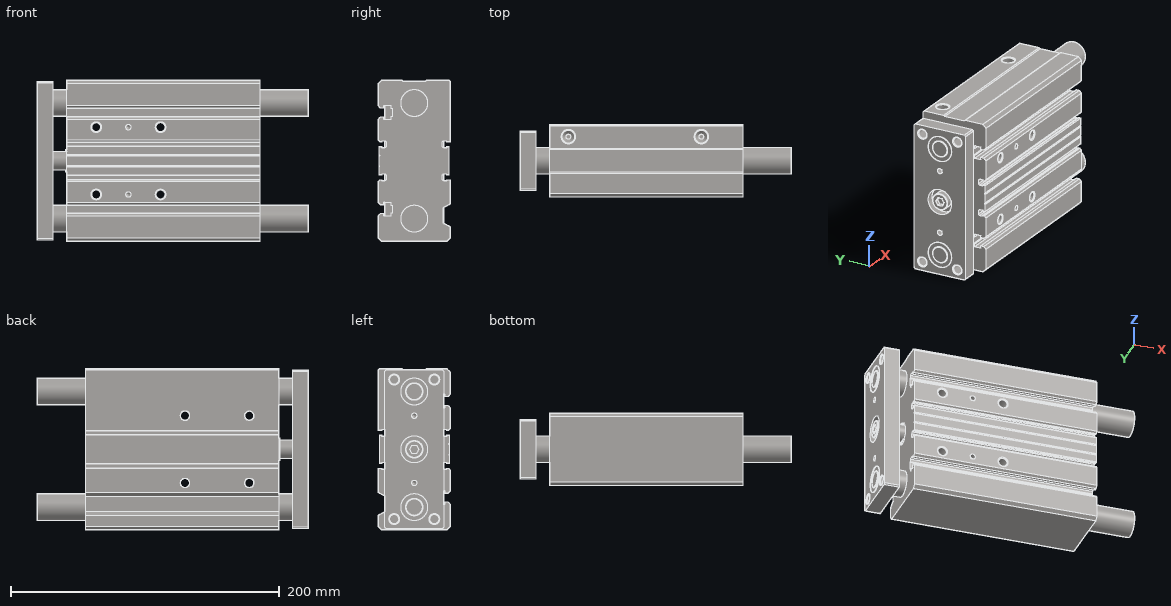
import cadquery as cq
import math


TOTAL_LENGTH = 202.0
BODY_START = 22.0
BODY_LENGTH = 144.0
BODY_WIDTH = 54.0
BODY_HEIGHT = 120.0
HALF_WIDTH = BODY_WIDTH / 2
HALF_HEIGHT = BODY_HEIGHT / 2
OVERCUT = 2.0

CORNER_CHAMFER = 2.6
PORT_SIDE_CHAMFER = 1.0
RECESS_TOP_WIDTH = 18.5
RECESS_FLOOR_WIDTH = 16.5
RECESS_DEPTH = 0.6

T_SLOT_Z = 36.0
T_MOUTH = 6.5
T_LIP = 4.5
T_WIDTH = 10.0
T_DEPTH = 9.7
T_MOUTH_CHAMFER = 1.8
T_FLOOR_GROOVE_WIDTH = 5.7
T_FLOOR_GROOVE_DEPTH = 1.0

SENSOR_SLOT_Z = 12.3
SENSOR_MOUTH = 3.6
SENSOR_LIP = 2.8
SENSOR_WIDTH = 4.8
SENSOR_DEPTH = 6.5
SENSOR_FLOOR_CHAMFER = 1.0
SENSOR_MOUTH_CHAMFER = 1.5
FRONT_RIB_SETBACK = 0.6
BACK_RIB_SETBACK = 1.0
V_GROOVE_Z = 4.0
V_GROOVE_WIDTH = 1.2
V_GROOVE_DEPTH = 0.6

TAPER_GROOVE_Z = -40.6
TAPER_MOUTH = 17.0
TAPER_FLOOR = 11.3
TAPER_DEPTH = 5.5

MOUNT_X = (44.0, 92.0)
PIN_X = sum(MOUNT_X) / 2
HOLE_Z = 25.0
MOUNT_DIAMETER = 6.7
MOUNT_MOUTH_DIAMETER = 7.9
PIN_DIAMETER = 4.0
PIN_DEPTH = 6.0
PIN_POINT_DEPTH = 1.2
PORT_X = (36.0, 135.0)
PORT_Y = 18.0
PORT_DIAMETER = 9.5
PORT_MOUTH_DIAMETER = 10.7
PORT_DEPTH = 10.0
PORT_CONE_DEPTH = 3.0
PASSAGE_DIAMETER = 3.6
PASSAGE_DEPTH = 18.2

GUIDE_Z = 43.0
GUIDE_DIAMETER = 20.0
GUIDE_SETBACK = 0.5
PISTON_DIAMETER = 14.0
PISTON_END = BODY_START + BODY_LENGTH / 2
HEAD_DIAMETER = 13.0
HEAD_CHAMFER = 0.5
HEX_FLATS = 6.0
HEX_CORNERS = HEX_FLATS / math.cos(math.pi / 6)
HEX_DEPTH = 3.0
COLLAR_DIAMETER = 16.5
COLLAR_LENGTH = 1.0

PLATE_THICKNESS = 12.0
PLATE_WIDTH = 44.2
PLATE_HEIGHT = 118.0
PLATE_CHAMFER = 1.0
PLATE_HOLE_Y = 15.0
PLATE_HOLE_Z = 52.0
PLATE_HOLE_DIAMETER = 6.9
PLATE_HOLE_MOUTH = 8.0
COUNTERBORE_DIAMETER = GUIDE_DIAMETER
COUNTERBORE_DEPTH = PLATE_THICKNESS / 2

X_AXIS = cq.Vector(1, 0, 0)
Y_AXIS = cq.Vector(0, 1, 0)
DOWN = cq.Vector(0, 0, -1)


def cylinder(diameter, start, direction, length):
    return cq.Workplane(cq.Solid.makeCylinder(diameter / 2, length, cq.Vector(*start), direction))


def cone(first_diameter, last_diameter, start, direction, length):
    """A cone or frustum that starts with first_diameter and ends with last_diameter."""
    solid = cq.Solid.makeCone(
        first_diameter / 2, last_diameter / 2, length, cq.Vector(*start), direction
    )
    return cq.Workplane(solid)


def chamfered_hole(diameter, mouth_diameter, start, direction, length):
    """A straight hole whose entrance opens to mouth_diameter at 45 degrees."""
    chamfer = (mouth_diameter - diameter) / 2
    hole = cylinder(diameter, start, direction, length)
    return hole.union(cone(mouth_diameter, diameter, start, direction, chamfer))


def pin_hole(start, direction):
    """A blind hole with a conical bottom."""
    point_start = (cq.Vector(*start) + direction * PIN_DEPTH).toTuple()
    hole = cylinder(PIN_DIAMETER, start, direction, PIN_DEPTH)
    return hole.union(cone(PIN_DIAMETER, 0, point_start, direction, PIN_POINT_DEPTH))


def body_bar(points):
    """A bar along the whole body length with the given (Y, Z) outline."""
    return cq.Workplane("YZ", origin=(BODY_START, 0, 0)).polyline(points).close().extrude(BODY_LENGTH)


def body_block(y_first, y_last, z_first, z_last):
    return body_bar([(y_first, z_first), (y_last, z_first), (y_last, z_last), (y_first, z_last)])


def slot_bar(half_profile, side, z_center):
    """A slot symmetric about z_center, from (depth, half width) points; side is the sign of Y."""
    upper = [(side * (HALF_WIDTH - depth), z_center + half) for depth, half in half_profile]
    lower = [(side * (HALF_WIDTH - depth), z_center - half) for depth, half in reversed(half_profile)]
    return body_bar(upper + lower)


def body_outline():
    return body_bar([
        (-HALF_WIDTH, -HALF_HEIGHT + CORNER_CHAMFER),
        (-HALF_WIDTH + CORNER_CHAMFER, -HALF_HEIGHT),
        (HALF_WIDTH - CORNER_CHAMFER, -HALF_HEIGHT),
        (HALF_WIDTH, -HALF_HEIGHT + CORNER_CHAMFER),
        (HALF_WIDTH, HALF_HEIGHT - PORT_SIDE_CHAMFER),
        (HALF_WIDTH - PORT_SIDE_CHAMFER, HALF_HEIGHT),
        (RECESS_TOP_WIDTH / 2, HALF_HEIGHT),
        (RECESS_FLOOR_WIDTH / 2, HALF_HEIGHT - RECESS_DEPTH),
        (-RECESS_FLOOR_WIDTH / 2, HALF_HEIGHT - RECESS_DEPTH),
        (-RECESS_TOP_WIDTH / 2, HALF_HEIGHT),
        (-HALF_WIDTH + CORNER_CHAMFER, HALF_HEIGHT),
        (-HALF_WIDTH, HALF_HEIGHT - CORNER_CHAMFER),
    ])


def cut_t_slots(body):
    """T-slots with a chamfered mouth and a narrower groove along the floor."""
    slot = [
        (-OVERCUT, T_MOUTH / 2),
        (T_LIP, T_MOUTH / 2),
        (T_LIP, T_WIDTH / 2),
        (T_DEPTH, T_WIDTH / 2),
        (T_DEPTH, T_FLOOR_GROOVE_WIDTH / 2),
        (T_DEPTH + T_FLOOR_GROOVE_DEPTH, T_FLOOR_GROOVE_WIDTH / 2),
    ]
    mouth = [(0, T_MOUTH / 2 + T_MOUTH_CHAMFER), (T_MOUTH_CHAMFER, T_MOUTH / 2)]
    for z in (-T_SLOT_Z, T_SLOT_Z):
        body = body.cut(slot_bar(slot, -1, z)).cut(slot_bar(mouth, -1, z))
    return body


def cut_sensor_slots(body):
    """Slots that widen behind a lip and have chamfered floor corners."""
    slot = [
        (-OVERCUT, SENSOR_MOUTH / 2),
        (SENSOR_LIP, SENSOR_MOUTH / 2),
        (SENSOR_LIP, SENSOR_WIDTH / 2),
        (SENSOR_DEPTH - SENSOR_FLOOR_CHAMFER, SENSOR_WIDTH / 2),
        (SENSOR_DEPTH, SENSOR_WIDTH / 2 - SENSOR_FLOOR_CHAMFER),
    ]
    for side in (-1, 1):
        for z in (-SENSOR_SLOT_Z, SENSOR_SLOT_Z):
            body = body.cut(slot_bar(slot, side, z))
    edge = SENSOR_SLOT_Z + SENSOR_MOUTH / 2
    for sign in (-1, 1):
        body = body.cut(body_bar([
            (-HALF_WIDTH, sign * edge),
            (-HALF_WIDTH, sign * (edge + SENSOR_MOUTH_CHAMFER)),
            (-HALF_WIDTH + SENSOR_MOUTH_CHAMFER, sign * edge),
        ]))
    return body


def cut_center_rib(body):
    """Sets the rib between the sensor slots back and cuts two V-grooves in its -Y face."""
    front_face = -HALF_WIDTH + FRONT_RIB_SETBACK
    back_face = HALF_WIDTH - BACK_RIB_SETBACK
    body = body.cut(body_block(-HALF_WIDTH, front_face, -SENSOR_SLOT_Z, SENSOR_SLOT_Z))
    body = body.cut(body_block(back_face, HALF_WIDTH, -SENSOR_SLOT_Z, SENSOR_SLOT_Z))
    for z in (-V_GROOVE_Z, V_GROOVE_Z):
        body = body.cut(body_bar([
            (front_face, z - V_GROOVE_WIDTH / 2),
            (front_face, z + V_GROOVE_WIDTH / 2),
            (front_face + V_GROOVE_DEPTH, z),
        ]))
    return body


def cut_taper_groove(body):
    profile = [(0, TAPER_MOUTH / 2), (TAPER_DEPTH, TAPER_FLOOR / 2)]
    return body.cut(slot_bar(profile, 1, TAPER_GROOVE_Z))


def cut_side_holes(body):
    """Through mounting holes and blind pin holes, entered from the -Y side."""
    for z in (-HOLE_Z, HOLE_Z):
        for x in MOUNT_X:
            body = body.cut(chamfered_hole(
                MOUNT_DIAMETER, MOUNT_MOUTH_DIAMETER, (x, -HALF_WIDTH, z), Y_AXIS, BODY_WIDTH
            ))
        body = body.cut(pin_hole((PIN_X, -HALF_WIDTH, z), Y_AXIS))
    return body


def cut_ports(body):
    """Ports in the top, each with a conical bottom that leads to a narrow passage."""
    for x in PORT_X:
        top = (x, PORT_Y, HALF_HEIGHT)
        cone_start = (x, PORT_Y, HALF_HEIGHT - PORT_DEPTH)
        body = body.cut(chamfered_hole(PORT_DIAMETER, PORT_MOUTH_DIAMETER, top, DOWN, PORT_DEPTH))
        body = body.cut(cone(PORT_DIAMETER, PASSAGE_DIAMETER, cone_start, DOWN, PORT_CONE_DEPTH))
        body = body.cut(cylinder(PASSAGE_DIAMETER, top, DOWN, PASSAGE_DEPTH))
    return body


def make_collar():
    """A low collar around the piston rod, open toward -Y over the width of the rod."""
    start = BODY_START - COLLAR_LENGTH
    collar = cylinder(COLLAR_DIAMETER, (start, 0, 0), X_AXIS, COLLAR_LENGTH)
    opening = cq.Workplane("XY").box(
        COLLAR_LENGTH, COLLAR_DIAMETER, PISTON_DIAMETER, centered=(False, False, True)
    )
    return collar.cut(opening.translate((start, -COLLAR_DIAMETER, 0)))


def make_housing():
    body = body_outline()
    body = cut_t_slots(body)
    body = cut_sensor_slots(body)
    body = cut_center_rib(body)
    body = cut_taper_groove(body)
    body = cut_side_holes(body)
    body = cut_ports(body)
    body = body.union(make_collar())
    body = body.cut(cylinder(PISTON_DIAMETER, (0, 0, 0), X_AXIS, PISTON_END))
    for z in (-GUIDE_Z, GUIDE_Z):
        body = body.cut(cylinder(GUIDE_DIAMETER, (0, 0, z), X_AXIS, TOTAL_LENGTH))
    return body


def make_plate():
    plate = (
        cq.Workplane("YZ")
        .rect(PLATE_WIDTH, PLATE_HEIGHT)
        .extrude(PLATE_THICKNESS)
        .edges("|X")
        .chamfer(PLATE_CHAMFER)
    )
    for z in (-PLATE_HOLE_Z, PLATE_HOLE_Z):
        for y in (-PLATE_HOLE_Y, PLATE_HOLE_Y):
            plate = plate.cut(chamfered_hole(
                PLATE_HOLE_DIAMETER, PLATE_HOLE_MOUTH, (0, y, z), X_AXIS, PLATE_THICKNESS
            ))
    for z in (-HOLE_Z, HOLE_Z):
        plate = plate.cut(pin_hole((0, 0, z), X_AXIS))
    for z in (-GUIDE_Z, GUIDE_Z):
        plate = plate.cut(cylinder(GUIDE_DIAMETER, (0, 0, z), X_AXIS, PLATE_THICKNESS))
    plate = plate.cut(cylinder(COUNTERBORE_DIAMETER, (0, 0, 0), X_AXIS, COUNTERBORE_DEPTH))
    return plate.cut(cylinder(HEAD_DIAMETER, (0, 0, 0), X_AXIS, PLATE_THICKNESS))


def rod_head(z, length):
    """The narrow front end of a rod, flush with the plate front and chamfered there."""
    return cylinder(HEAD_DIAMETER, (0, 0, z), X_AXIS, length).faces("<X").chamfer(HEAD_CHAMFER)


def make_guide_rod(z):
    shaft_length = TOTAL_LENGTH - GUIDE_SETBACK
    shaft = cylinder(GUIDE_DIAMETER, (GUIDE_SETBACK, 0, z), X_AXIS, shaft_length)
    return shaft.union(rod_head(z, 2 * GUIDE_SETBACK))


def make_piston_rod():
    """A rod shouldered on the plate back, with a hexagon socket in its front end."""
    shaft_length = PISTON_END - PLATE_THICKNESS
    shaft = cylinder(PISTON_DIAMETER, (PLATE_THICKNESS, 0, 0), X_AXIS, shaft_length)
    socket = cq.Workplane("YZ").polygon(6, HEX_CORNERS).extrude(HEX_DEPTH)
    return shaft.union(rod_head(0, PLATE_THICKNESS)).cut(socket)


housing = make_housing()
plate = make_plate()
piston_rod = make_piston_rod()
guide_rods = [make_guide_rod(z) for z in (-GUIDE_Z, GUIDE_Z)]

result = cq.Compound.makeCompound([
    housing.val(),
    plate.val(),
    piston_rod.val(),
    *[guide_rod.val() for guide_rod in guide_rods],
])